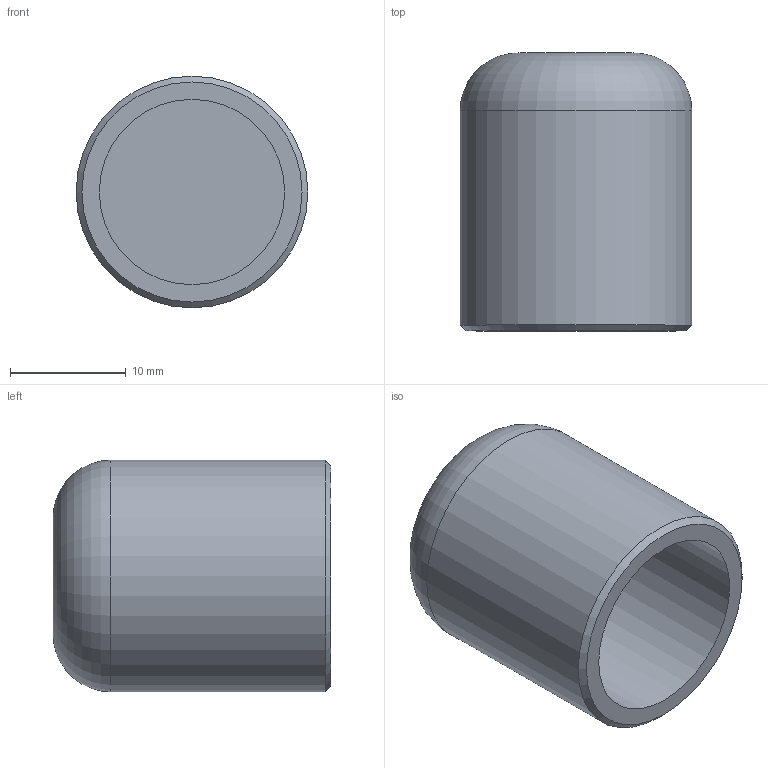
import cadquery as cq

outer_diameter = 20.0
bore_diameter = 16.0
length = 24.0
end_wall = 4.0
dome_radius = 5.0
rim_chamfer = 0.5

bore_depth = length - end_wall


def cylinder_along_y(diameter, depth):
    """Solid cylinder running from the open end (Y = 0) towards +Y."""
    return cq.Workplane("XZ").circle(diameter / 2).extrude(-depth)


def cap_body():
    """Outer cylinder with a rounded closed end and a chamfered open rim."""
    body = cylinder_along_y(outer_diameter, length)
    body = body.faces(">Y").edges().fillet(dome_radius)
    return body.faces("<Y").edges().chamfer(rim_chamfer)


result = cap_body().cut(cylinder_along_y(bore_diameter, bore_depth))